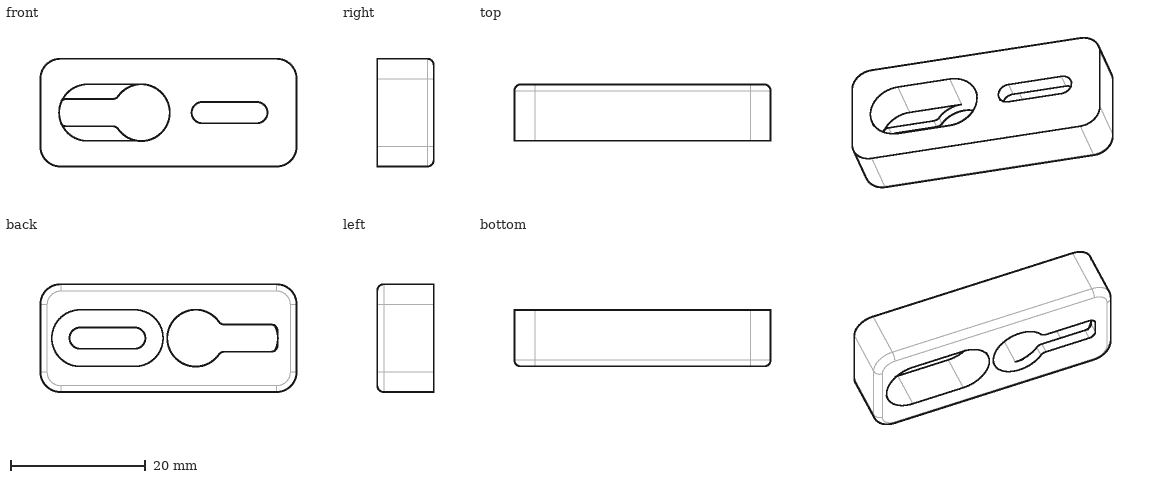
import cadquery as cq

length = 38.0
depth = 8.4
height = 16.0
corner_radius = 3.0
back_fillet = 1.0

entry_x = -4.03
entry_diameter = 8.4
channel_left_x = -16.2
channel_depth = 6.75
neck_width = 4.0
neck_fillet = 1.0

slot_x = 9.05
slot_length = 11.2
slot_width = 3.1

recess_width = 8.4
recess_front_y = 2.6


def make_block():
    block = (
        cq.Workplane("XY")
        .box(length, depth, height, centered=(True, False, True))
        .edges("|Y")
        .fillet(corner_radius)
    )
    return block.faces(">Y").edges().fillet(back_fillet)


def make_slot_prism(center_x, overall_length, width, front_y, back_y):
    """Round-ended prism along Y, its long axis along X."""
    return (
        cq.Workplane("XZ", origin=(center_x, front_y, 0))
        .slot2D(overall_length, width)
        .extrude(front_y - back_y)
    )


def make_channel():
    """Wide blind channel that ends on the round entry."""
    channel_right_x = entry_x + entry_diameter / 2
    center_x = (channel_left_x + channel_right_x) / 2
    channel_length = channel_right_x - channel_left_x
    return make_slot_prism(center_x, channel_length, entry_diameter, 0, channel_depth)


def make_keyhole():
    """Round entry and narrow neck, with rounded corners between and at the end."""
    entry = cq.Workplane("XZ").center(entry_x, 0).circle(entry_diameter / 2).extrude(-depth)
    neck_length = entry_x - channel_left_x
    neck = (
        cq.Workplane("XY")
        .box(neck_length, depth, neck_width, centered=(False, False, True))
        .translate((channel_left_x, 0, 0))
    )
    margin = 0.38
    left_of_entry_center = cq.selectors.BoxSelector(
        (channel_left_x - margin, -margin, -neck_width),
        (entry_x - margin, depth + margin, neck_width),
    )
    return entry.union(neck).edges("|Y").edges(left_of_entry_center).fillet(neck_fillet)


def make_web_opening():
    """Part of the keyhole that passes through the web behind the channel."""
    web = cq.Workplane("XY").box(length, depth, height, centered=(True, False, True))
    return make_keyhole().intersect(web.translate((0, channel_depth, 0)))


def make_stepped_slot():
    """Narrow slot that opens into a wide recess with the same end centres."""
    end_center_spacing = slot_length - slot_width
    slot = make_slot_prism(slot_x, slot_length, slot_width, 0, depth)
    recess_length = end_center_spacing + recess_width
    recess = make_slot_prism(slot_x, recess_length, recess_width, recess_front_y, depth)
    return slot.union(recess)


result = make_block().cut(make_channel()).cut(make_web_opening()).cut(make_stepped_slot())